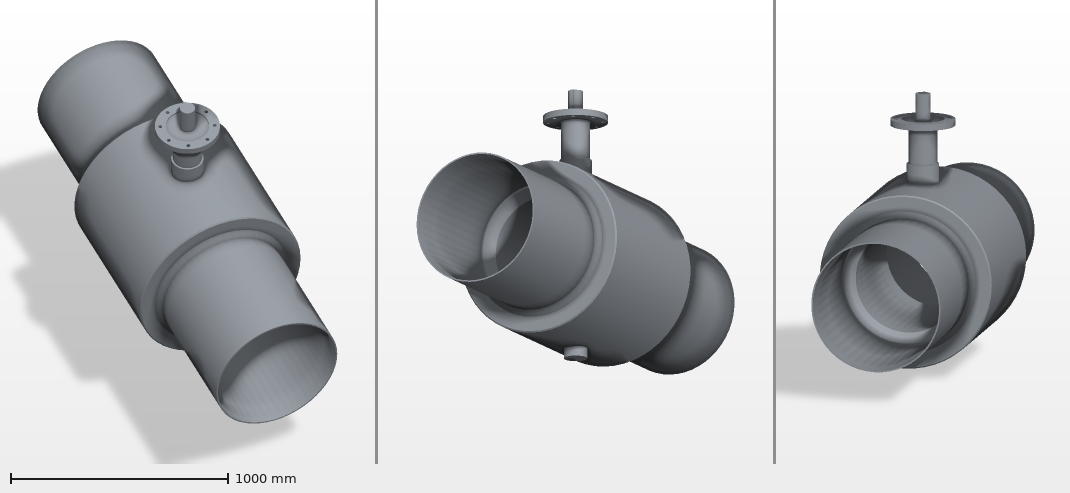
import cadquery as cq

length = 2000.0
pipe_dia = 610.0
pipe_bore = 595.0
seat_dia = 575.0
port_dia = 488.0
body_dia = 812.0
body_length = 745.0
body_chamfer = 5.0
shoulder_dia = 665.0
seat_taper_length = (seat_dia - port_dia) / 2

collar_dia = 150.0
collar_top = 488.0
neck_dia = 135.0
neck_top = 660.0
neck_flare_dia = 142.0
flange_dia = 300.0
flange_thickness = 30.0
flange_top = 698.0
recess_dia = 200.0
recess_depth = 5.0
boss_dia = 108.0
boss_bottom = -450.0

bolt_count = 8
bolt_dia = 18.0
bolt_circle_dia = 252.0

stem_dia = 70.0
stem_top = 815.0
stem_bottom = 285.0
key_width = 18.0
key_height = 5.0

body_half = body_length / 2
body_radius = body_dia / 2
shoulder_end = body_half + (shoulder_dia - pipe_dia) / 2
flange_bottom = flange_top - flange_thickness
recess_floor = flange_top - recess_depth


def z_cylinder(diameter, bottom, top):
    return cq.Workplane("XY").workplane(offset=bottom).circle(diameter / 2).extrude(top - bottom)


def turned_about_x(half_outline):
    """Revolve an outline of (x, radius) points, given for -X and mirrored to +X."""
    mirrored = [(-x, radius) for x, radius in reversed(half_outline)]
    axis_ends = [(half_outline[0][0], 0), *half_outline, *mirrored, (mirrored[-1][0], 0)]
    return cq.Workplane("XY").polyline(axis_ends).close().revolve(360, (0, 0, 0), (1, 0, 0))


def make_shell():
    return turned_about_x([
        (-length / 2, pipe_dia / 2),
        (-shoulder_end, pipe_dia / 2),
        (-body_half, shoulder_dia / 2),
        (-body_half, body_radius - body_chamfer),
        (-body_half + body_chamfer, body_radius),
    ])


def make_bore():
    """Pipe bore with a flat step and a taper down to the port at each end."""
    return turned_about_x([
        (-length / 2, pipe_bore / 2),
        (-body_half, pipe_bore / 2),
        (-body_half, seat_dia / 2),
        (-body_half + seat_taper_length, port_dia / 2),
    ])


def make_neck():
    """Collar, neck and the short flare that meets the underside of the flange."""
    collar = z_cylinder(collar_dia, 0, collar_top)
    neck = z_cylinder(neck_dia, 0, neck_top)
    flare = (
        cq.Workplane("XY").workplane(offset=neck_top).circle(neck_dia / 2)
        .workplane(offset=flange_bottom - neck_top).circle(neck_flare_dia / 2)
        .loft()
    )
    return collar.union(neck).union(flare)


def make_flange():
    half_pitch = 180 / bolt_count
    flange = z_cylinder(flange_dia, flange_bottom, flange_top)
    bolt_holes = (
        cq.Workplane("XY").workplane(offset=flange_bottom)
        .polarArray(bolt_circle_dia / 2, half_pitch, 360, bolt_count)
        .circle(bolt_dia / 2).extrude(flange_thickness)
    )
    recess = z_cylinder(recess_dia, recess_floor, flange_top)
    return flange.cut(bolt_holes).cut(recess)


def make_stem():
    """Plain shaft, keyed above the floor of the flange recess."""
    shaft = z_cylinder(stem_dia, stem_bottom, stem_top)
    key_reach = stem_dia / 2 + key_height
    key = (
        cq.Workplane("XY").workplane(offset=recess_floor)
        .center(-key_reach / 2, 0).rect(key_reach, key_width)
        .extrude(stem_top - recess_floor)
    )
    return shaft.union(key)


def make_housing():
    boss = z_cylinder(boss_dia, boss_bottom, 0)
    stem_hole = z_cylinder(stem_dia, stem_bottom, stem_top)
    solid = make_shell().union(make_neck()).union(make_flange()).union(boss)
    return solid.cut(make_bore()).cut(stem_hole)


housing = make_housing()
stem = make_stem()
result = cq.Compound.makeCompound([housing.val(), stem.val()])